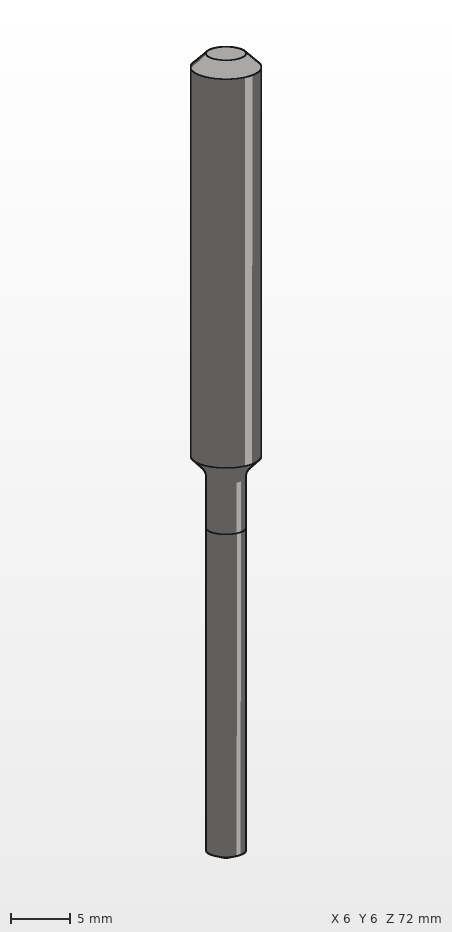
import cadquery as cq
import math

total_length = 72.0
shank_diameter = 6.0
drill_diameter = 3.4
shank_bottom_z = 36.0
neck_top_z = 34.1
joint_z = 29.6
point_height = 0.7
end_chamfer_width = 1.3
end_chamfer_height = 1.2
shoulder_angle = math.radians(45)

shank_radius = shank_diameter / 2
drill_radius = drill_diameter / 2

corner_z = shank_bottom_z - (shank_radius - drill_radius) / math.tan(shoulder_angle)
tangent_length = corner_z - neck_top_z
fillet_end = (
    drill_radius + tangent_length * math.sin(shoulder_angle),
    corner_z + tangent_length * math.cos(shoulder_angle),
)


def revolve_about_z(profile):
    """Revolve a closed (radius, z) profile a full turn about the Z axis."""
    return profile.close().revolve(360, (0, 0, 0), (0, 1, 0))


def make_shank():
    """Chamfered shank with its conical shoulder and filleted neck."""
    profile = (
        cq.Workplane("XZ")
        .moveTo(0, joint_z)
        .lineTo(drill_radius, joint_z)
        .lineTo(drill_radius, neck_top_z)
        .tangentArcPoint(fillet_end, relative=False)
        .lineTo(shank_radius, shank_bottom_z)
        .lineTo(shank_radius, total_length - end_chamfer_height)
        .lineTo(shank_radius - end_chamfer_width, total_length)
        .lineTo(0, total_length)
    )
    return revolve_about_z(profile)


def make_drill():
    """Cylindrical cutting body with a conical point."""
    profile = (
        cq.Workplane("XZ")
        .moveTo(0, 0)
        .lineTo(drill_radius, point_height)
        .lineTo(drill_radius, joint_z)
        .lineTo(0, joint_z)
    )
    return revolve_about_z(profile)


shank = make_shank()
drill = make_drill()

result = cq.Compound.makeCompound([shank.val(), drill.val()])